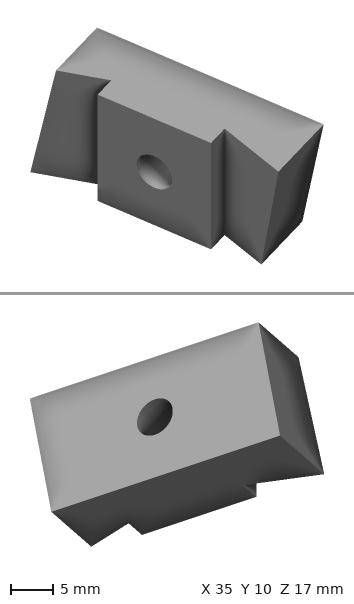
import cadquery as cq

length = 35.0
depth = 10.0
height = 17.0

end_slant = 3.0
pad_width = 16.0
notch_depth = 3.0
hole_diameter = 5.0

half_length = length / 2
half_depth = depth / 2
half_height = height / 2
half_pad = pad_width / 2
notch_floor = -half_depth + notch_depth


def parallelogram_block():
    """Block whose two end faces lean towards +X."""
    outline = [
        (-half_length, -half_height),
        (half_length - end_slant, -half_height),
        (half_length, half_height),
        (-half_length + end_slant, half_height),
    ]
    return cq.Workplane("XZ").polyline(outline).close().extrude(half_depth, both=True)


def notch(side):
    """Wedge between the pad and one tip; side is -1 for -X or 1 for +X."""
    outline = [
        (side * half_pad, -half_depth),
        (side * half_pad, notch_floor),
        (side * half_length, -half_depth),
    ]
    return cq.Workplane("XY").polyline(outline).close().extrude(half_height, both=True)


result = parallelogram_block()
for side in (-1, 1):
    result = result.cut(notch(side))

hole = cq.Workplane("XZ").circle(hole_diameter / 2).extrude(half_depth, both=True)
result = result.cut(hole)